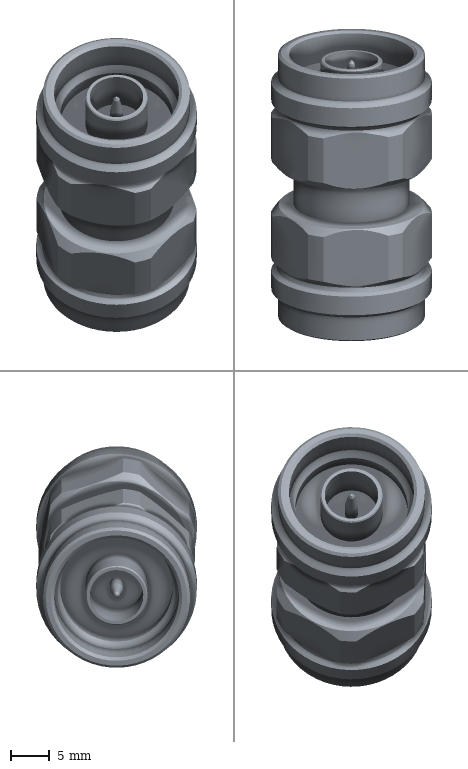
import cadquery as cq
import math


length = 36.4
end_z = length / 2
collar_radius = 20.8 / 2

barrel_radius = 7.5
barrel_half_length = 2.5
neck_radius = 6.3

across_flats = 19.0
hex_bottom_z = 2.73
hex_bottom_chamfer = 1.0
hex_shoulder_z = 9.83
hex_cone_top_radius = 9.85
cone_slope = 0.69

groove_radius = 9.4
groove_top_z = 10.77
groove_lip_radius = 9.7
groove_lip_z = 11.25

collar_bottom_z = 11.65
collar_top_z = 14.2
cap_radius = across_flats / 2
cap_chamfer_width = 0.35
cap_chamfer_height = 0.25

socket_floor_z = 11.83
socket_floor_radius = 7.28
socket_step_z = 13.6
socket_cone_top_z = 14.3
socket_radius = 8.08
socket_mouth_radius = 8.48
socket_mouth_depth = 0.25

tube_outer_radius = 4.0
tube_inner_radius = 3.45
tube_end_z = 17.15
tube_chamfer = 0.15

pin_base_radius = 1.42
pin_radius = 0.85
pin_taper_start_z = 14.35
pin_shoulder_z = 16.75
pin_shoulder_radius = 0.4
pin_tip_z = 17.07
pin_tip_radius = 0.15


def turned(profile):
    """Solid of revolution about Z from (radius, z) points."""
    return cq.Workplane("XZ").polyline(profile).close().revolve(360, (0, 0), (0, 1))


def make_hexagon():
    """Chamfered hexagon with rounded corners and a concave relief above its upper cone."""
    cone_width = collar_radius - hex_cone_top_radius
    cone_top_z = hex_shoulder_z + cone_slope * cone_width
    outline = (
        cq.Workplane("XZ")
        .moveTo(0, hex_bottom_z)
        .lineTo(collar_radius - hex_bottom_chamfer, hex_bottom_z)
        .lineTo(collar_radius, hex_bottom_z + hex_bottom_chamfer)
        .lineTo(collar_radius, hex_shoulder_z)
        .lineTo(hex_cone_top_radius, cone_top_z)
        .tangentArcPoint((groove_radius, groove_top_z), relative=False)
        .lineTo(0, groove_top_z)
        .close()
    )
    blank = outline.revolve(360, (0, 0), (0, 1))
    prism = (
        cq.Workplane("XY")
        .workplane(offset=hex_bottom_z)
        .polygon(6, across_flats / math.cos(math.pi / 6))
        .extrude(groove_top_z - hex_bottom_z)
        .rotate((0, 0, 0), (0, 0, 1), 30)
    )
    return blank.intersect(prism)


def make_collar_and_cap():
    """Round front part of the nut, from the groove to the end face."""
    collar_chamfer_height = cone_slope * (collar_radius - cap_radius)
    return turned([
        (0, groove_top_z),
        (groove_radius, groove_top_z),
        (groove_lip_radius, groove_lip_z),
        (collar_radius, collar_bottom_z),
        (collar_radius, collar_top_z),
        (cap_radius, collar_top_z + collar_chamfer_height),
        (cap_radius, end_z - cap_chamfer_height),
        (cap_radius - cap_chamfer_width, end_z),
        (0, end_z),
    ])


def make_socket():
    """Volume cut from the end face: mouth, bore, cone and floor."""
    return turned([
        (0, socket_floor_z),
        (socket_floor_radius, socket_floor_z),
        (socket_floor_radius, socket_step_z),
        (socket_radius, socket_cone_top_z),
        (socket_radius, end_z - socket_mouth_depth),
        (socket_mouth_radius, end_z),
        (0, end_z),
    ])


def make_tube():
    """Thin tube on the socket floor."""
    return turned([
        (tube_inner_radius, socket_floor_z),
        (tube_outer_radius, socket_floor_z),
        (tube_outer_radius, tube_end_z - tube_chamfer),
        (tube_outer_radius - tube_chamfer, tube_end_z),
        (tube_inner_radius, tube_end_z),
    ])


def make_barrel():
    """Middle barrel with a neck at each end."""
    barrel = cq.Workplane("XY").circle(barrel_radius).extrude(barrel_half_length, both=True)
    necks = cq.Workplane("XY").circle(neck_radius).extrude(hex_bottom_z, both=True)
    return barrel.union(necks)


def make_housing():
    """Housing with both ends and the through hole for the pin."""
    nut = make_hexagon().union(make_collar_and_cap())
    upper_end = nut.cut(make_socket()).union(make_tube())
    lower_end = upper_end.mirror("XY")
    whole = make_barrel().union(upper_end).union(lower_end)
    pin_hole = cq.Workplane("XY").circle(pin_base_radius).extrude(socket_floor_z, both=True)
    return whole.cut(pin_hole).clean()


def make_pin():
    """Contact pin with a tapered point at each end, base flush with the socket floors."""
    upper_outline = [
        (pin_base_radius, socket_floor_z),
        (pin_radius, socket_floor_z),
        (pin_radius, pin_taper_start_z),
        (pin_shoulder_radius, pin_shoulder_z),
        (pin_tip_radius, pin_tip_z),
        (0, pin_tip_z),
    ]
    lower_outline = [(radius, -z) for radius, z in reversed(upper_outline)]
    return turned(upper_outline + lower_outline)


housing = make_housing()
pin = make_pin()

result = cq.Compound.makeCompound([housing.val(), pin.val()])